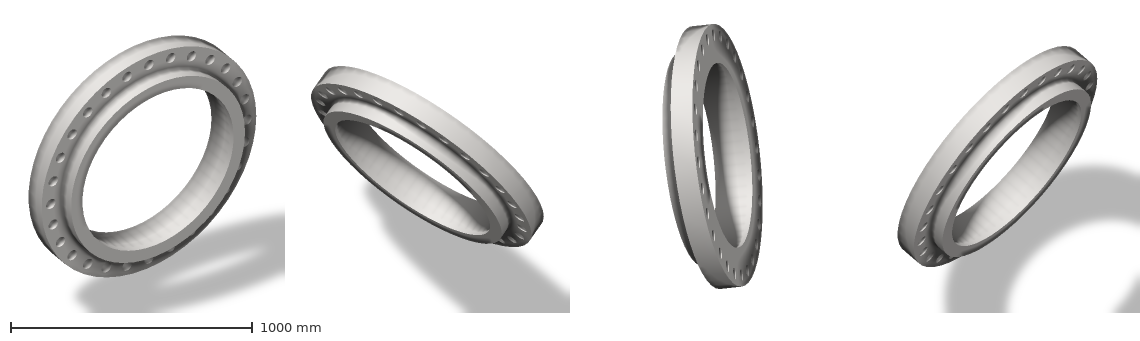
import cadquery as cq

outer_diameter = 1092.0
bore_diameter = 769.0
hub_diameter = 885.0
flange_thickness = 93.0
total_length = 157.0
hub_fillet_radius = 10.0

bolt_count = 28
bolt_circle_diameter = 998.0
bolt_hole_diameter = 48.0


def ring_body():
    """Flange disc and hub, joined by a fillet, revolved around the bore axis."""
    bore_radius = bore_diameter / 2
    hub_radius = hub_diameter / 2
    profile = (
        cq.Workplane("XY")
        .moveTo(0, bore_radius)
        .lineTo(0, outer_diameter / 2)
        .lineTo(flange_thickness, outer_diameter / 2)
        .lineTo(flange_thickness, hub_radius + hub_fillet_radius)
        .radiusArc((flange_thickness + hub_fillet_radius, hub_radius), -hub_fillet_radius)
        .lineTo(total_length, hub_radius)
        .lineTo(total_length, bore_radius)
        .close()
    )
    return profile.revolve(360, (0, 0, 0), (1, 0, 0))


def bolt_holes():
    """Through holes spaced evenly on the bolt circle, one of them on the Y axis."""
    return (
        cq.Workplane("YZ")
        .polarArray(bolt_circle_diameter / 2, 0, 360, bolt_count)
        .circle(bolt_hole_diameter / 2)
        .extrude(flange_thickness)
    )


result = ring_body().cut(bolt_holes())